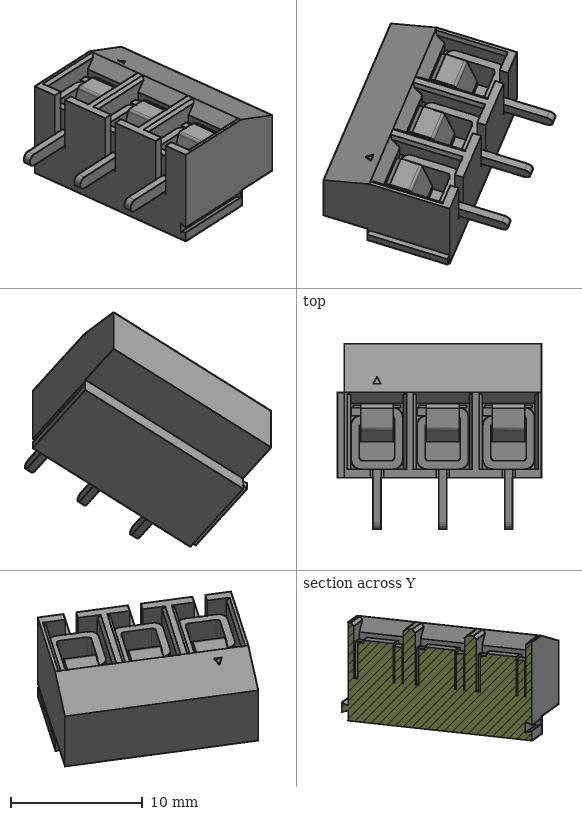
import cadquery as cq


poles = 3
pitch = 5.0
housing_width = poles * pitch
housing_length = 10.2
housing_height = 7.8
roof_length = 6.5
back_height = 6.4
foot_length = 6.65
foot_height = 1.4

dovetail_depth = 0.5
dovetail_length = roof_length
dovetail_center_z = 1.02
dovetail_wide = 0.78
dovetail_narrow = 0.46

front_wall = 0.68
cavity_width = 4.0
cavity_back = 5.66
cavity_floor = 3.45
rim_chamfer = 0.25
funnel_bottom = 6.78
slot_width = 1.0

cage_width = 3.9
cage_top = 6.3
cage_thickness = 0.61
lap_thickness = 0.72
cage_back = 5.33
cage_outer_radius = 0.7
cage_inner_radius = 0.3

plate_width = 3.62
plate_thickness = 0.21
plate_top = 6.2

wedge_width = 2.48
wedge_top = 6.53
wedge_back = 5.63
wedge_back_top = 6.42
wedge_crest_back = 5.3
wedge_crest_front = 3.64
wedge_toe = 2.75
wedge_toe_z = 4.0
wedge_nose_radius = 0.25

pin_width = 0.62
pin_height = 1.0
pin_bottom = 3.5
pin_length = 3.9

arrow_width = 0.56
arrow_front = 7.17
arrow_back = 7.68
arrow_depth = 0.1


def box(x_min, x_max, y_min, y_max, z_min, z_max):
    size = (x_max - x_min, y_max - y_min, z_max - z_min)
    return cq.Workplane("XY").box(*size, centered=False).translate((x_min, y_min, z_min))


def side_prism(points, x_min, x_max):
    """Extrude a (Y, Z) outline along X."""
    return cq.Workplane("YZ", origin=(x_min, 0, 0)).polyline(points).close().extrude(x_max - x_min)


def make_housing():
    outline = [
        (0, 0),
        (0, housing_height),
        (roof_length, housing_height),
        (housing_length, back_height),
        (housing_length, foot_height),
        (foot_length, foot_height),
        (foot_length, 0),
    ]
    return side_prism(outline, 0, housing_width)


def make_dovetail(x_root):
    """Rail that widens toward -X, starting from its narrow root."""
    outline = [
        (x_root, dovetail_center_z - dovetail_narrow / 2),
        (x_root, dovetail_center_z + dovetail_narrow / 2),
        (x_root - dovetail_depth, dovetail_center_z + dovetail_wide / 2),
        (x_root - dovetail_depth, dovetail_center_z - dovetail_wide / 2),
    ]
    return cq.Workplane("XZ").polyline(outline).close().extrude(-dovetail_length)


def make_cavity(x_center):
    """Cavity with a funnel at the back, chamfered side rims and a pin slot at the front."""
    half = cavity_width / 2
    rim_half = half + rim_chamfer
    rim_z = housing_height - rim_chamfer
    well = box(x_center - half, x_center + half, front_wall, cavity_back, cavity_floor, housing_height)
    funnel_outline = [
        (front_wall, cavity_floor),
        (front_wall, housing_height),
        (roof_length, housing_height),
        (cavity_back, funnel_bottom),
        (cavity_back, cavity_floor),
    ]
    funnel = side_prism(funnel_outline, x_center - rim_half, x_center + rim_half)
    rim_outline = [
        (x_center - rim_half, housing_height),
        (x_center - half, rim_z),
        (x_center - half, cavity_floor),
        (x_center + half, cavity_floor),
        (x_center + half, rim_z),
        (x_center + rim_half, housing_height),
    ]
    rim = cq.Workplane("XZ").polyline(rim_outline).close().extrude(-roof_length)
    slot_half = slot_width / 2
    slot = box(x_center - slot_half, x_center + slot_half, 0, front_wall, cavity_floor, housing_height)
    return well.union(funnel.intersect(rim)).union(slot)


def make_cage(x_center):
    """Strip bent into a rectangle, its two ends overlapping at the back left."""
    left = x_center - cage_width / 2
    right = x_center + cage_width / 2
    inner_left = left + cage_thickness
    inner_right = right - cage_thickness
    lap = cage_back - cage_thickness
    inner_back = lap - lap_thickness
    tail_right = x_center + wedge_width / 2

    outer_layer = box(left, right, front_wall, cage_back, cavity_floor, cage_top)
    outer_layer = outer_layer.edges("|Z").edges(">X or <Y").fillet(cage_outer_radius)
    window = box(inner_left, inner_right, front_wall + cage_thickness, lap, cavity_floor, cage_top)
    outer_layer = outer_layer.cut(window.edges("|Z").fillet(cage_inner_radius))

    round_x = left + cage_outer_radius
    round_y = lap - cage_outer_radius
    lap_notch = box(left, round_x, round_y, lap, cavity_floor, cage_top)
    bend = cq.Workplane("XY", origin=(round_x, round_y, cavity_floor)).circle(cage_outer_radius)
    lap_notch = lap_notch.cut(bend.extrude(cage_top - cavity_floor))
    tail = box(inner_left, tail_right, inner_back, lap, cavity_floor, cage_top)
    return outer_layer.union(tail).cut(lap_notch)


def make_plate(x_center):
    half = plate_width / 2
    plate_back = cage_back + plate_thickness
    return box(x_center - half, x_center + half, cage_back, plate_back, cavity_floor, plate_top)


def make_wedge(x_center):
    """Clamp with a flat crest, a sloping back edge and a steep, round-nosed front."""
    outline = [
        (wedge_back, cavity_floor),
        (wedge_back, wedge_back_top),
        (wedge_crest_back, wedge_top),
        (wedge_crest_front, wedge_top),
        (wedge_toe, wedge_toe_z),
        (wedge_toe, cavity_floor),
    ]
    half = wedge_width / 2
    wedge = side_prism(outline, x_center - half, x_center + half)
    nose = cq.selectors.NearestToPointSelector((x_center, wedge_crest_front, wedge_top))
    return wedge.edges("|X").edges(nose).fillet(wedge_nose_radius)


def make_pin(x_center):
    """Flat pin with a fully rounded tip."""
    radius = pin_height / 2
    tip_center = radius - pin_length
    axis_z = pin_bottom + radius
    profile = (
        cq.Workplane("YZ", origin=(x_center - pin_width / 2, 0, 0))
        .moveTo(front_wall, pin_bottom)
        .lineTo(tip_center, pin_bottom)
        .threePointArc((-pin_length, axis_z), (tip_center, pin_bottom + pin_height))
        .lineTo(front_wall, pin_bottom + pin_height)
        .close()
    )
    return profile.extrude(pin_width)


def make_arrow(x_center):
    """Triangular prism that stands on a plane just below the roof slope."""
    slope = (housing_height - back_height) / (housing_length - roof_length)
    points = [
        (x_center - arrow_width / 2, arrow_front),
        (x_center + arrow_width / 2, arrow_front),
        (x_center, arrow_back),
    ]
    prism = cq.Workplane("XY").polyline(points).close().extrude(housing_height)
    front_z = housing_height - arrow_depth - slope * (arrow_front - roof_length)
    back_z = housing_height - arrow_depth - slope * (arrow_back - roof_length)
    side = [
        (arrow_front, front_z),
        (arrow_front, housing_height),
        (arrow_back, housing_height),
        (arrow_back, back_z),
    ]
    return prism.intersect(side_prism(side, x_center - arrow_width, x_center + arrow_width))


pole_centers = [pitch * (pole + 0.5) for pole in range(poles)]

groove = make_dovetail(housing_width)
result = make_housing().cut(groove).union(make_dovetail(0))
result = result.cut(make_arrow(pole_centers[0]))
for x_pole in pole_centers:
    result = result.cut(make_cavity(x_pole))
    for make_metal in (make_cage, make_plate, make_wedge, make_pin):
        result = result.union(make_metal(x_pole))